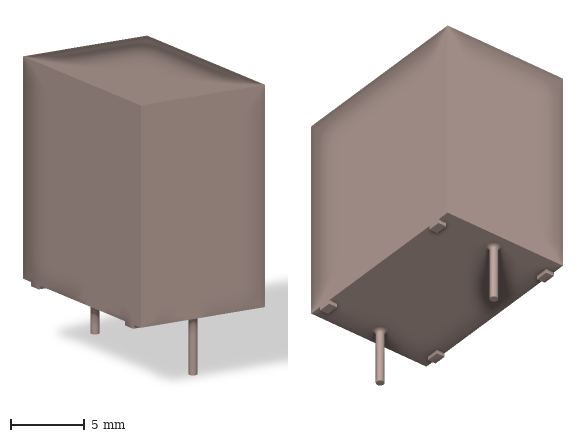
import cadquery as cq

length = 15.0
width = 10.0
total_height = 20.0

pin_diameter = 0.6
pin_pitch = 12.5
pin_drop = 4.0

foot_length = 1.0
foot_width = 0.65
foot_height = 0.3
foot_inset = 1.0

flare_radius = foot_height

box_bottom = pin_drop + foot_height
box_height = total_height - box_bottom
pin_radius = pin_diameter / 2
foot_x = length / 2 - foot_inset - foot_length / 2
foot_y = (width - foot_width) / 2


def make_box():
    box = cq.Workplane("XY").box(length, width, box_height, centered=(True, True, False))
    return box.translate((0, 0, box_bottom))


def make_foot(side_x, side_y):
    foot = cq.Workplane("XY").box(foot_length, foot_width, foot_height, centered=(True, True, False))
    return foot.translate((side_x * foot_x, side_y * foot_y, pin_drop))


def make_pin(side_x):
    """Round pin whose top sweeps outward in a concave quarter arc to meet the box."""
    arc_offset = flare_radius * (1 - 0.5 ** 0.5)
    profile = (
        cq.Workplane("XZ")
        .lineTo(pin_radius, 0)
        .lineTo(pin_radius, box_bottom - flare_radius)
        .threePointArc(
            (pin_radius + arc_offset, box_bottom - arc_offset),
            (pin_radius + flare_radius, box_bottom),
        )
        .lineTo(0, box_bottom)
        .close()
    )
    pin = profile.revolve(360, (0, 0, 0), (0, 1, 0))
    return pin.translate((side_x * pin_pitch / 2, 0, 0))


result = make_box()
for side_x in (-1, 1):
    result = result.union(make_pin(side_x))
    for side_y in (-1, 1):
        result = result.union(make_foot(side_x, side_y))